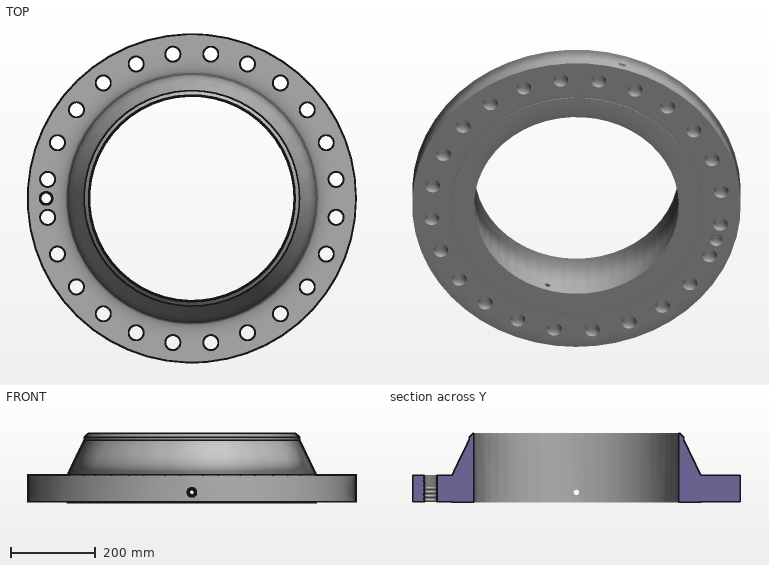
import cadquery as cq
import math

FLANGE_DIAMETER = 774.7
FLANGE_TOP = 65.1
RAISED_FACE_DIAMETER = 587.4
RAISED_FACE_HEIGHT = 1.6
BORE_DIAMETER = 482.6

TOTAL_HEIGHT = 163.58
HUB_BASE_DIAMETER = 587.4
HUB_BASE_FILLET = 3.0
PIPE_DIAMETER = 508.0
BEVEL_HEIGHT = 9.3
PIPE_LAND = 7.0
WELD_ROOT_WIDTH = 2.4

BOLT_COUNT = 24
BOLT_CIRCLE_DIAMETER = 685.8
BOLT_HOLE_DIAMETER = 35.0

JACK_HOLE_RADIUS = 343.5
JACK_MAJOR_DIAMETER = 30.8
JACK_MINOR_DIAMETER = 26.6
JACK_PITCH = 3.175

TAP_HEIGHT = 24.0
TAP_BORE_DIAMETER = 12.7
TAP_MAJOR_DIAMETER = 21.3
TAP_MINOR_DIAMETER = 18.5
TAP_PITCH = 1.814
TAP_THREAD_TURNS = 12


def revolve_profile(points):
    """Revolve a closed (radius, height) outline a full turn around Z."""
    return cq.Workplane("XZ").polyline(points).close().revolve(360, (0, 0, 0), (0, 1, 0))


def make_thread_cutter(major_diameter, minor_diameter, pitch, turns):
    """Threaded hole running up Z from the origin, its thread simplified to V-shaped rings."""
    profile = [(0, 0)]
    for turn in range(turns):
        profile.append((major_diameter / 2, turn * pitch))
        profile.append((minor_diameter / 2, (turn + 0.5) * pitch))
    profile.append((major_diameter / 2, turns * pitch))
    profile.append((0, turns * pitch))
    return revolve_profile(profile)


def make_body():
    """Revolve the flange, raised face, hub and weld bevel around Z."""
    bore_radius = BORE_DIAMETER / 2
    flange_radius = FLANGE_DIAMETER / 2
    face_radius = RAISED_FACE_DIAMETER / 2
    hub_radius = HUB_BASE_DIAMETER / 2
    pipe_radius = PIPE_DIAMETER / 2
    bevel_bottom = TOTAL_HEIGHT - BEVEL_HEIGHT
    profile = [
        (bore_radius, 0),
        (face_radius, 0),
        (face_radius, RAISED_FACE_HEIGHT),
        (flange_radius, RAISED_FACE_HEIGHT),
        (flange_radius, FLANGE_TOP),
        (hub_radius, FLANGE_TOP),
        (pipe_radius, bevel_bottom - PIPE_LAND),
        (pipe_radius, bevel_bottom),
        (bore_radius + WELD_ROOT_WIDTH, TOTAL_HEIGHT),
        (bore_radius, TOTAL_HEIGHT),
    ]
    flange_top = revolve_profile(profile).faces("|Z").faces(">Z[-2]")
    return flange_top.edges(cq.selectors.RadiusNthSelector(0)).fillet(HUB_BASE_FILLET)


def make_bolt_holes():
    """Through holes straddling the X and Y axes."""
    pitch = 360 / BOLT_COUNT
    return (
        cq.Workplane("XY")
        .polarArray(BOLT_CIRCLE_DIAMETER / 2, pitch / 2, 360, BOLT_COUNT)
        .circle(BOLT_HOLE_DIAMETER / 2)
        .extrude(FLANGE_TOP)
    )


def make_jack_hole():
    """Threaded hole through the full thickness of the flange."""
    turns = math.ceil(FLANGE_TOP / JACK_PITCH)
    cutter = make_thread_cutter(JACK_MAJOR_DIAMETER, JACK_MINOR_DIAMETER, JACK_PITCH, turns)
    return cutter.translate((-JACK_HOLE_RADIUS, 0, FLANGE_TOP - turns * JACK_PITCH))


def make_pressure_tap(side):
    """Radial bore with a threaded socket at the rim, on the +Y or -Y side."""
    rim = cq.Plane(
        origin=(0, side * FLANGE_DIAMETER / 2, TAP_HEIGHT),
        xDir=(1, 0, 0),
        normal=(0, -side, 0),
    )
    bore = cq.Workplane(rim).circle(TAP_BORE_DIAMETER / 2).extrude(FLANGE_DIAMETER / 2)
    socket = make_thread_cutter(TAP_MAJOR_DIAMETER, TAP_MINOR_DIAMETER, TAP_PITCH, TAP_THREAD_TURNS)
    return bore.union(cq.Workplane(socket.val().moved(cq.Location(rim))))


result = make_body().cut(make_bolt_holes()).cut(make_jack_hole())
for tap_side in (-1, 1):
    result = result.cut(make_pressure_tap(tap_side))